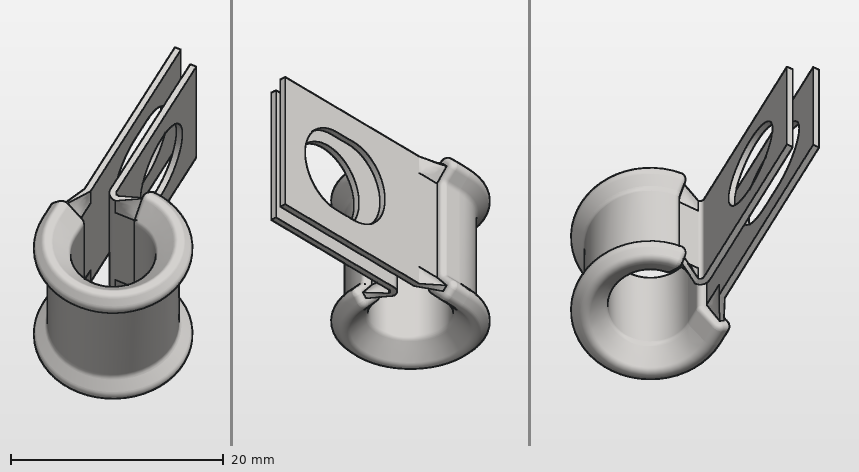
import cadquery as cq
import math

bore_radius = 4.0
wall = 2.2
outer_radius = bore_radius + wall
mid_radius = bore_radius + wall / 2
flare_angle = math.radians(45)
flare_bend_height = 5.56
flare_length = 2.69
section_fillet = 0.75
end_fillet = 0.56
sleeve_sweep = 270
sleeve_leg = 2.25

strap_thickness = 0.64
strap_half_height = 7.1
strap_bend_height = 5.24
embed = 0.3
front_tab_end = 23.42
back_tab_end = 22.3
front_tab_x = -mid_radius
back_tab_x = -2.91
twist_start = 4.73
bend_inner_radius = 0.4
bend_outer_radius = bend_inner_radius + strap_thickness

hole_diameter = 8.7
slot_length = 11.12
hole_y = 15.07


def flare_point(distance, offset):
    """Radius and height on the flare, offset outward from its middle surface."""
    radius = mid_radius + distance * math.sin(flare_angle) + offset * math.cos(flare_angle)
    height = flare_bend_height + distance * math.cos(flare_angle) - offset * math.sin(flare_angle)
    return radius, height


def sleeve_section():
    """Rounded wall section on the -X side of the sleeve axis."""
    bend_shift = wall / 2 * math.tan(flare_angle / 2)
    upper = [
        (outer_radius, flare_bend_height - bend_shift),
        flare_point(flare_length, wall / 2),
        flare_point(flare_length, -wall / 2),
        (bore_radius, flare_bend_height + bend_shift),
    ]
    lower = [(radius, -height) for radius, height in reversed(upper)]
    outline = [(-radius, height) for radius, height in upper + lower]
    outline.append(outline[0])
    return cq.Sketch().polygon(outline).vertices().fillet(section_fillet)


def make_sleeve():
    section = sleeve_section()
    ring = cq.Workplane("XZ").placeSketch(section).revolve(sleeve_sweep, (0, 0), (0, 1))
    leg = cq.Workplane("XZ").placeSketch(section).extrude(-sleeve_leg)
    sleeve = ring.union(leg)
    leg_end = cq.NearestToPointSelector((-mid_radius, sleeve_leg, 0))
    arc_end = cq.NearestToPointSelector((0, mid_radius, 0))
    sleeve = sleeve.faces(leg_end).edges().fillet(end_fillet)
    return sleeve.faces(arc_end).edges().fillet(end_fillet)


def box_between(x_range, y_range, half_height):
    size_x = x_range[1] - x_range[0]
    size_y = y_range[1] - y_range[0]
    return (
        cq.Workplane("XY")
        .box(size_x, size_y, 2 * half_height, centered=(False, False, True))
        .translate((x_range[0], y_range[0], 0))
    )


def corner_twist(length):
    """Upper strap corner turning from flat (y = length) to flared (y = 0), on the -X side."""
    half = strap_thickness / 2
    outer = mid_radius + half
    inner = mid_radius - half
    tilt = half * math.sin(flare_angle)
    tip_height = strap_half_height - tilt
    tip_radius = mid_radius + (tip_height - flare_bend_height) * math.tan(flare_angle)
    root = [(-outer, strap_bend_height), (-inner, strap_bend_height)]
    flared = root + [(-tip_radius + tilt, tip_height + tilt), (-tip_radius - tilt, tip_height - tilt)]
    flat = root + [(-inner, strap_half_height), (-outer, strap_half_height)]
    twist = (
        cq.Workplane("XZ").polyline(flared).close()
        .workplane(offset=-length).polyline(flat).close()
        .loft(ruled=True)
    )
    buried = cq.Workplane("XZ").polyline(flared).close().extrude(embed)
    return twist.union(buried)


def both_corners(upper):
    return upper.union(upper.mirror("XY"))


def make_front_tab():
    x_range = (front_tab_x - strap_thickness / 2, front_tab_x + strap_thickness / 2)
    tab = box_between(x_range, (twist_start, front_tab_end), strap_half_height)
    neck = box_between(x_range, (sleeve_leg - embed, twist_start), strap_bend_height)
    twist = corner_twist(twist_start - sleeve_leg).translate((0, sleeve_leg, 0))
    slot = (
        cq.Workplane("YZ", origin=(x_range[0], hole_y, 0))
        .slot2D(slot_length, hole_diameter)
        .extrude(strap_thickness)
    )
    return tab.union(neck).union(both_corners(twist)).cut(slot)


def make_back_tab():
    x_outer = back_tab_x - strap_thickness / 2
    x_inner = back_tab_x + strap_thickness / 2
    y_low = mid_radius - strap_thickness / 2
    y_high = mid_radius + strap_thickness / 2
    bend_end = x_inner + bend_inner_radius
    diagonal = math.sqrt(0.5)
    bend_y = y_high + bend_inner_radius
    tab = (
        cq.Workplane("XY", origin=(0, 0, -strap_half_height))
        .moveTo(x_outer, back_tab_end)
        .lineTo(x_outer, bend_y)
        .threePointArc(
            (bend_end - bend_outer_radius * diagonal, bend_y - bend_outer_radius * diagonal),
            (bend_end, y_low),
        )
        .lineTo(bend_end, y_high)
        .threePointArc(
            (bend_end - bend_inner_radius * diagonal, bend_y - bend_inner_radius * diagonal),
            (x_inner, bend_y),
        )
        .lineTo(x_inner, back_tab_end)
        .close()
        .extrude(2 * strap_half_height)
    )
    neck = box_between((bend_end, embed), (y_low, y_high), strap_bend_height)
    twist = (
        corner_twist(-bend_end)
        .mirror("YZ")
        .rotate((0, 0, 0), (0, 0, 1), 90)
    )
    hole = (
        cq.Workplane("YZ", origin=(x_outer, hole_y, 0))
        .circle(hole_diameter / 2)
        .extrude(strap_thickness)
    )
    return tab.union(neck).union(both_corners(twist)).cut(hole)


result = make_sleeve().union(make_front_tab()).union(make_back_tab())